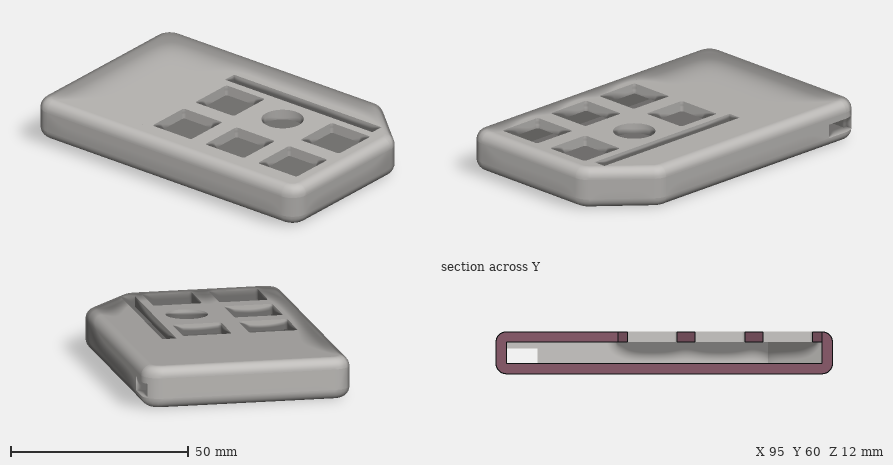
import cadquery as cq
import math

length = 95.0
width = 60.0
height = 12.0
corner_radius = 5.0
edge_radius = 3.0
wall = 3.0
chamfer_x = 17.0
chamfer_y = 15.0

columns = 3
rows = 2
key_pitch = 19.1
key_hole = 14.1
key_hole_radius = 0.8
knob_diameter = 12.0
knob_cell = (1, 1)
knob_shift_x = -0.2
knob_shift_y = 0.2
plate_left = 34.6
plate_front = 5.0
plate_length = columns * key_pitch
plate_width = rows * key_pitch
plate_thickness = wall

slot_length = 53.4
slot_width = 4.1

port_left = 1.9
port_length = 10.0
port_height = 4.1


def box_at(x, y, z, size_x, size_y, size_z):
    """Box with its lowest corner at x, y, z."""
    return cq.Workplane("XY").box(size_x, size_y, size_z, centered=False).translate((x, y, z))


def outline_prism(inset, bottom, top):
    """Prism of the clipped rectangle, moved inwards by inset on every side."""
    clip_angle = math.atan2(chamfer_y, chamfer_x)
    back_shift = inset * math.tan(clip_angle / 2)
    right_shift = inset * math.tan((math.pi / 2 - clip_angle) / 2)
    points = [
        (inset, inset),
        (length - inset, inset),
        (length - inset, width - chamfer_y - right_shift),
        (length - chamfer_x - back_shift, width - inset),
        (inset, width - inset),
    ]
    return cq.Workplane("XY").workplane(offset=bottom).polyline(points).close().extrude(top - bottom)


def make_housing():
    """Hollow rounded case, open on top for the plate and the slot."""
    shell = outline_prism(0, 0, height).edges("|Z").fillet(corner_radius)
    shell = shell.faces("<Z or >Z").edges().fillet(edge_radius)
    cavity = outline_prism(wall, wall, height - wall)
    roof_bottom = height - plate_thickness
    plate_opening = box_at(plate_left, plate_front, roof_bottom, plate_length, plate_width, plate_thickness)
    slot = box_at(
        plate_left, plate_front + plate_width, roof_bottom, slot_length, slot_width, plate_thickness
    )
    port = box_at(port_left, width - wall, wall, port_length, wall, port_height)
    return shell.cut(cavity).cut(plate_opening).cut(slot).cut(port)


def make_key_plate():
    """Plate flush with the housing top, pierced by the key and knob holes."""
    bottom = height - plate_thickness
    plate = box_at(plate_left, plate_front, bottom, plate_length, plate_width, plate_thickness)
    for column in range(columns):
        for row in range(rows):
            center_x = plate_left + (column + 0.5) * key_pitch
            center_y = plate_front + (row + 0.5) * key_pitch
            start = cq.Workplane("XY", origin=(center_x, center_y, bottom))
            if (column, row) == knob_cell:
                hole = start.center(knob_shift_x, knob_shift_y).circle(knob_diameter / 2).extrude(plate_thickness)
            else:
                hole = start.rect(key_hole, key_hole).extrude(plate_thickness)
                hole = hole.edges("|Z").fillet(key_hole_radius)
            plate = plate.cut(hole)
    return plate


housing = make_housing()
key_plate = make_key_plate()
result = cq.Compound.makeCompound([housing.val(), key_plate.val()])